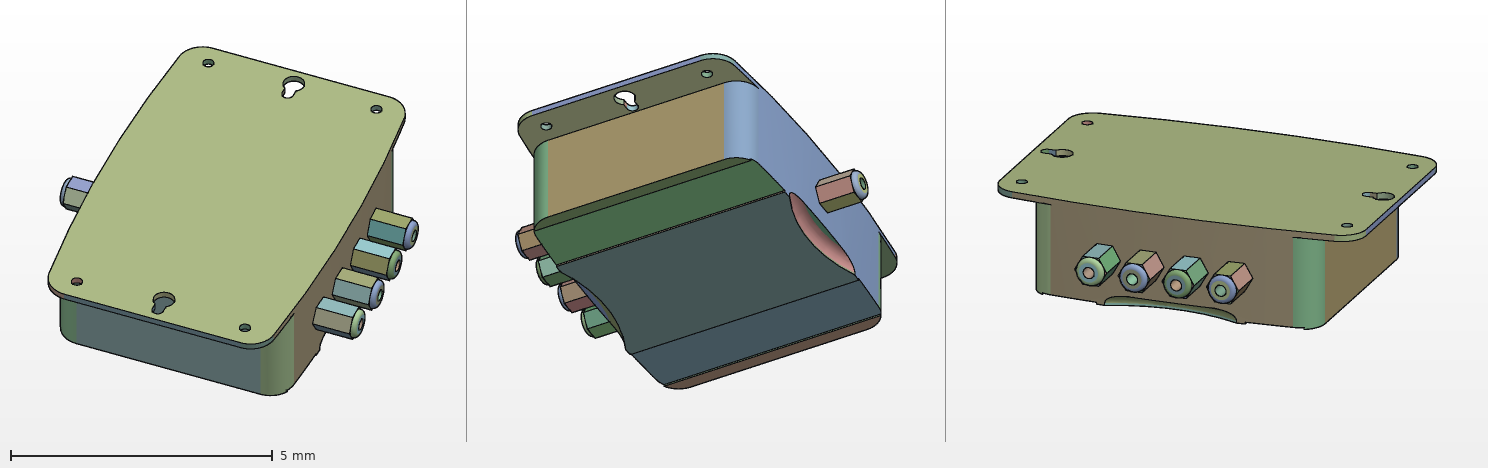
import cadquery as cq
import math

plate_length = 7.5
box_length = 5.88
mid_width = 5.0
plate_end_width = 4.53
corner_radius = 0.5
total_height = 2.0
plate_thickness = 0.13
plate_bottom = total_height - plate_thickness

screw_hole_diameter = 0.21
screw_spacing_x = 3.465
screw_spacing_y = 6.66
keyhole_head_diameter = 0.41
keyhole_slot_width = 0.225
keyhole_drop = 0.315
keyhole_head_ys = (3.405, -3.17)

channel_depth = 0.04
channel_inner_y = 1.52
channel_outer_y = 2.68

recess_width = 2.7
recess_depth = 0.315
recess_height = 0.25
recess_round = 0.2

gland_across_flats = 0.57
gland_reach = 0.85
gland_tip_length = 0.105
gland_tip_round = 0.09
gland_bore_diameter = 0.225
gland_height = 0.95
gland_pitch = 0.9
gland_count_right = 4

side_bulge = (mid_width - plate_end_width) / 2
side_radius = ((plate_length / 2) ** 2 + side_bulge ** 2) / (2 * side_bulge)


def side_x(y):
    """Distance of the bowed side wall from the YZ plane at a given y."""
    return mid_width / 2 - side_radius + math.sqrt(side_radius ** 2 - y ** 2)


def bowed_block(length, bottom, height):
    """Block with flat ends, bowed sides and rounded upright corners."""
    end_y = length / 2
    end_x = side_x(end_y)
    return (
        cq.Workplane("XY", origin=(0, 0, bottom))
        .moveTo(-end_x, -end_y)
        .lineTo(end_x, -end_y)
        .threePointArc((mid_width / 2, 0), (end_x, end_y))
        .lineTo(-end_x, end_y)
        .threePointArc((-mid_width / 2, 0), (-end_x, -end_y))
        .close()
        .extrude(height)
        .edges("|Z")
        .fillet(corner_radius)
    )


def screw_holes():
    return (
        cq.Workplane("XY", origin=(0, 0, plate_bottom))
        .rect(screw_spacing_x, screw_spacing_y, forConstruction=True)
        .vertices()
        .circle(screw_hole_diameter / 2)
        .extrude(plate_thickness)
    )


def keyhole(head_y):
    """Round head with a narrower round-ended slot towards -Y."""
    plane = cq.Workplane("XY", origin=(0, head_y, plate_bottom))
    head = plane.circle(keyhole_head_diameter / 2).extrude(plate_thickness)
    slot = (
        plane.center(0, -keyhole_drop / 2)
        .slot2D(keyhole_drop + keyhole_slot_width, keyhole_slot_width, 90)
        .extrude(plate_thickness)
    )
    return head.union(slot)


def underside_channels():
    channel_width = channel_outer_y - channel_inner_y
    channel_y = (channel_outer_y + channel_inner_y) / 2
    return (
        cq.Workplane("XY")
        .pushPoints([(0, -channel_y), (0, channel_y)])
        .rect(mid_width, channel_width)
        .extrude(channel_depth)
    )


def finger_recess(side):
    """Upright disc with a rounded top edge, biting into one side wall."""
    half_width = recess_width / 2
    mouth_x = side_x(half_width)
    bite = recess_depth - (mid_width / 2 - mouth_x)
    disc_radius = (half_width ** 2 + bite ** 2) / (2 * bite)
    disc_x = mid_width / 2 - recess_depth + disc_radius
    return (
        cq.Workplane("XY")
        .center(side * disc_x, 0)
        .circle(disc_radius)
        .extrude(recess_height)
        .faces(">Z")
        .edges()
        .fillet(recess_round)
    )


def make_housing():
    box = bowed_block(box_length, 0, plate_bottom)
    plate = bowed_block(plate_length, plate_bottom, plate_thickness)
    body = box.union(plate).cut(screw_holes()).cut(underside_channels())
    for head_y in keyhole_head_ys:
        body = body.cut(keyhole(head_y))
    for side in (-1, 1):
        body = body.cut(finger_recess(side))
    return body


def make_gland(side, y, housing):
    """Bored hexagonal gland with a round tip, seated on one bowed side wall."""
    tip_x = side_x(y) + gland_reach
    root_x = plate_end_width / 2
    full_length = tip_x - root_x
    hex_length = full_length - gland_tip_length
    across_corners = gland_across_flats / math.cos(math.pi / 6)
    start = cq.Plane(
        origin=(side * root_x, y, gland_height),
        xDir=(0, 1, 0),
        normal=(side, 0, 0),
    )
    hexagon = cq.Workplane(start).polygon(6, across_corners).extrude(hex_length)
    tip = (
        cq.Workplane(start)
        .circle(gland_across_flats / 2)
        .extrude(full_length)
        .faces(">X" if side > 0 else "<X")
        .edges()
        .fillet(gland_tip_round)
    )
    bore = (
        cq.Workplane(start)
        .circle(gland_bore_diameter / 2)
        .extrude(full_length)
    )
    return hexagon.union(tip).cut(bore).cut(housing)


housing = make_housing()

gland_places = [(-1, 0)]
for index in range(gland_count_right):
    gland_places.append((1, (index - (gland_count_right - 1) / 2) * gland_pitch))

glands = [make_gland(side, y, housing).val() for side, y in gland_places]

result = cq.Compound.makeCompound([housing.val(), *glands])